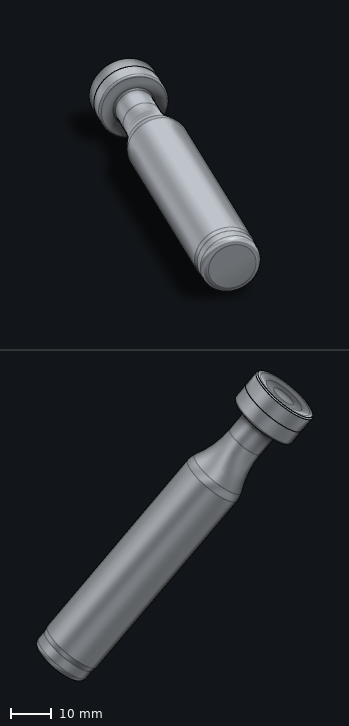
import cadquery as cq
import math


total_length = 90.0
head_radius = 9.0
head_length = 9.0
cap_length = head_length / 2
head_chamfer = 0.4
head_back_fillet = 0.5

rim_inner_radius = head_radius - head_chamfer
cone_outer_radius = 7.7
cone_inner_radius = 5.6
floor_radius = 3.15
cone_slope = math.radians(12)

neck_radius = 10.0 / 2
neck_fillet = 0.45
flare_start = 15.9
flare_end = 28.9
flare_inflection = 26.7
barrel_radius = 16.0 / 2
tip_radius = 15.5 / 2
tip_taper_start = 84.5
tip_taper_end = 85.9
tip_fillet = 1.6


def revolve_about_x(profile):
    """Close an outline and turn it a full circle about the X axis."""
    return profile.close().revolve(360, (0, 0, 0), (1, 0, 0))


def make_cap():
    """Front half of the head, with a shallow dish blended into its rim and its flat floor."""
    blend_rise = math.tan(cone_slope / 2)
    rim_depth = (rim_inner_radius - cone_outer_radius) * blend_rise
    cone_depth = rim_depth + (cone_outer_radius - cone_inner_radius) * math.tan(cone_slope)
    floor_depth = cone_depth + (cone_inner_radius - floor_radius) * blend_rise
    profile = (
        cq.Workplane("XY")
        .moveTo(floor_depth, 0)
        .lineTo(floor_depth, floor_radius)
        .tangentArcPoint((cone_depth, cone_inner_radius), relative=False)
        .lineTo(rim_depth, cone_outer_radius)
        .tangentArcPoint((0, rim_inner_radius), relative=False)
        .lineTo(head_chamfer, head_radius)
        .lineTo(cap_length, head_radius)
        .lineTo(cap_length, 0)
    )
    return revolve_about_x(profile)


def make_pin():
    """Rear half of the head, neck, flare, barrel and rounded tip."""
    flare_fraction = (flare_inflection - flare_start) / (flare_end - flare_start)
    inflection_radius = neck_radius + flare_fraction * (barrel_radius - neck_radius)
    profile = (
        cq.Workplane("XY")
        .moveTo(cap_length, 0)
        .lineTo(cap_length, head_radius)
        .lineTo(head_length - head_back_fillet, head_radius)
        .tangentArcPoint((head_length, head_radius - head_back_fillet), relative=False)
        .lineTo(head_length, neck_radius + neck_fillet)
        .tangentArcPoint((head_length + neck_fillet, neck_radius), relative=False)
        .lineTo(flare_start, neck_radius)
        .tangentArcPoint((flare_inflection, inflection_radius), relative=False)
        .tangentArcPoint((flare_end, barrel_radius), relative=False)
        .lineTo(tip_taper_start, barrel_radius)
        .lineTo(tip_taper_end, tip_radius)
        .lineTo(total_length - tip_fillet, tip_radius)
        .tangentArcPoint((total_length, tip_radius - tip_fillet), relative=False)
        .lineTo(total_length, 0)
    )
    return revolve_about_x(profile)


cap = make_cap()
pin = make_pin()
result = cq.Compound.makeCompound([cap.val(), pin.val()])